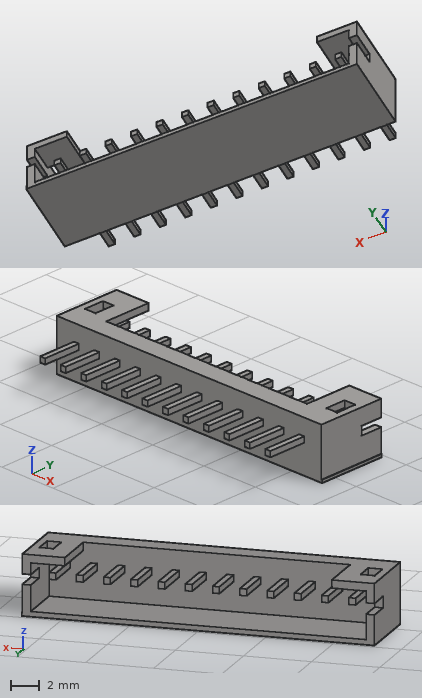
import cadquery as cq


overall_length = 25.9
end_step = 0.05
end_step_height = 0.25
body_length = overall_length - end_step
body_depth = 6.0
body_height = 4.5
base_thickness = 1.75
wall_side = 0.62
wall_top = 0.6
wall_bottom = 0.4

tab_length = 3.13

latch_length = 1.04
latch_depth = 1.81
latch_from_mouth = 2.0

slot_depth = 1.97
slot_height_left = 0.83
slot_height_right = 0.75

pin_count = 12
pin_span = 22.0
pin_pitch = pin_span / (pin_count - 1)
pin_size = 0.5
pin_tail = 3.4
pin_tip_setback = 0.93
pin_top_drop = 1.45

half_length = body_length / 2
top_z = body_height / 2
bottom_z = -top_z
pin_top_z = top_z - pin_top_drop


def block(x_range, y_range, z_range):
    """Box spanning the given (low, high) range along each axis."""
    x, y, z = x_range[0], y_range[0], z_range[0]
    length = x_range[1] - x
    depth = y_range[1] - y
    height = z_range[1] - z
    return cq.Workplane("XY").box(length, depth, height, centered=False).translate((x, y, z))


def centered_range(center, size):
    """Low and high ends of a length placed about its centre."""
    return (center - size / 2, center + size / 2)


def make_body():
    body = block((-half_length, half_length), (0, body_depth), (bottom_z, top_z))
    strip = block((-half_length, half_length + end_step), (0, body_depth),
                  (bottom_z, bottom_z + end_step_height))
    return body.union(strip)


def make_cavity():
    cavity_length = body_length - 2 * wall_side
    return block(centered_range(0, cavity_length), (base_thickness, body_depth),
                 (bottom_z + wall_bottom, top_z - wall_top))


def make_top_opening():
    opening_length = body_length - 2 * tab_length
    return block(centered_range(0, opening_length), (base_thickness, body_depth), (top_z - wall_top, top_z))


def make_latch_window(side):
    """Window beside the end wall; side is -1 for the -X end and 1 for the +X end."""
    center_x = side * (half_length - wall_side - latch_length / 2)
    front_y = body_depth - latch_from_mouth
    return block(centered_range(center_x, latch_length), (front_y - latch_depth, front_y),
                 (top_z - wall_top, top_z))


def make_end_slot(side, height):
    """Slot through one end wall; side is -1 for the -X end and 1 for the +X end."""
    center_x = side * (half_length - wall_side / 2)
    return block(centered_range(center_x, wall_side), (body_depth - slot_depth, body_depth),
                 (pin_top_z - height, pin_top_z))


def make_pin(center_x):
    return block(centered_range(center_x, pin_size), (-pin_tail, body_depth - pin_tip_setback),
                 (pin_top_z - pin_size, pin_top_z))


result = make_body().cut(make_cavity()).cut(make_top_opening())

for side, slot_height in ((-1, slot_height_left), (1, slot_height_right)):
    result = result.cut(make_latch_window(side))
    result = result.cut(make_end_slot(side, slot_height))

for index in range(pin_count):
    pin_x = index * pin_pitch - pin_span / 2
    result = result.union(make_pin(pin_x))